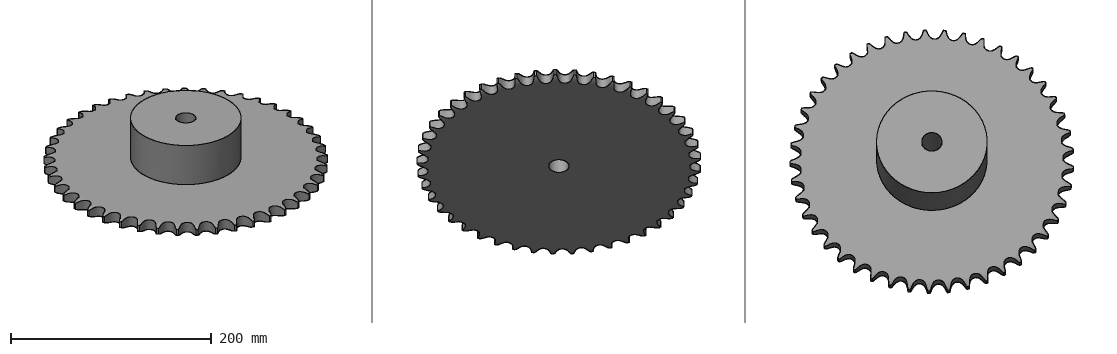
import cadquery as cq
import math

tooth_count = 45
overall_width = 282.5
pitch_diameter = 273.0
roller_diameter = 12.1
plate_thickness = 11.0
total_height = 56.0
hub_diameter = 110.0
bore_diameter = 20.0

tooth_angle = 360 / tooth_count
tip_half_angle = 0.4
tip_radius = overall_width / 2 / math.cos(math.radians(tooth_angle / 4 - tip_half_angle))

seat_half_angle = 55 - 60 / tooth_count
working_angle = 18 - 56 / tooth_count
topping_angle = 17 - 64 / tooth_count
working_sin = math.sin(math.radians(working_angle))
working_cos = math.cos(math.radians(working_angle))
topping_sin = math.sin(math.radians(topping_angle))
topping_cos = math.cos(math.radians(topping_angle))
seat_radius = 0.5025 * roller_diameter
working_radius = 1.3025 * roller_diameter
flat_length = roller_diameter * (1.4 * topping_sin - 0.8 * working_sin)
topping_radius = roller_diameter * (0.8 * working_cos + 1.4 * topping_cos - 1.3025)

relief_start_radius = 132.5
relief_radius = 19.0


def relieved_disc():
    """Toothless plate whose rim is rounded toward both faces."""
    def drop_at(radius):
        run = radius - relief_start_radius
        return relief_radius - math.sqrt(relief_radius**2 - run**2)

    mid_radius = (relief_start_radius + tip_radius) / 2
    mid_drop = drop_at(mid_radius)
    tip_drop = drop_at(tip_radius)
    return (
        cq.Workplane("XZ")
        .lineTo(relief_start_radius, 0)
        .threePointArc((mid_radius, mid_drop), (tip_radius, tip_drop))
        .lineTo(tip_radius, plate_thickness - tip_drop)
        .threePointArc((mid_radius, plate_thickness - mid_drop), (relief_start_radius, plate_thickness))
        .lineTo(0, plate_thickness)
        .close()
        .revolve(360, (0, 0, 0), (0, 1, 0))
    )


def arc_point(start, radius, start_heading, end_heading):
    """End of an arc that leaves `start` and turns between two headings (degrees from +X)."""
    turn = math.copysign(radius, end_heading - start_heading)
    first = math.radians(start_heading)
    last = math.radians(end_heading)
    return (
        start[0] + turn * (math.sin(last) - math.sin(first)),
        start[1] - turn * (math.cos(last) - math.cos(first)),
    )


def tooth_gap():
    """Cutter for one tooth gap, centred on +Y and open past the tooth tips."""
    flank_heading = seat_half_angle + working_angle
    topping_turn = 1.5 * topping_angle
    topping_heading = flank_heading - topping_turn

    def mirrored(point):
        return (-point[0], point[1])

    bottom = (0, pitch_diameter / 2 - seat_radius)
    seat_end = arc_point(bottom, seat_radius, 0, seat_half_angle)
    working_mid = arc_point(seat_end, working_radius, seat_half_angle, seat_half_angle + working_angle / 2)
    working_end = arc_point(seat_end, working_radius, seat_half_angle, flank_heading)
    flat_end = (
        working_end[0] + flat_length * math.cos(math.radians(flank_heading)),
        working_end[1] + flat_length * math.sin(math.radians(flank_heading)),
    )
    topping_mid = arc_point(flat_end, topping_radius, flank_heading, (flank_heading + topping_heading) / 2)
    topping_end = arc_point(flat_end, topping_radius, flank_heading, topping_heading)
    return (
        cq.Workplane("XY")
        .moveTo(*mirrored(topping_end))
        .threePointArc(mirrored(topping_mid), mirrored(flat_end))
        .lineTo(*mirrored(working_end))
        .threePointArc(mirrored(working_mid), mirrored(seat_end))
        .threePointArc(bottom, seat_end)
        .threePointArc(working_mid, working_end)
        .lineTo(*flat_end)
        .threePointArc(topping_mid, topping_end)
        .close()
        .extrude(plate_thickness)
    )


plate = relieved_disc()
gap = tooth_gap().val()
gaps = [gap.rotate((0, 0, 0), (0, 0, 1), index * tooth_angle) for index in range(tooth_count)]
toothed_plate = plate.newObject([plate.val().cut(*gaps)])

hub = cq.Workplane("XY").circle(hub_diameter / 2).extrude(total_height)
bore = cq.Workplane("XY").circle(bore_diameter / 2).extrude(total_height)

result = toothed_plate.union(hub).cut(bore)